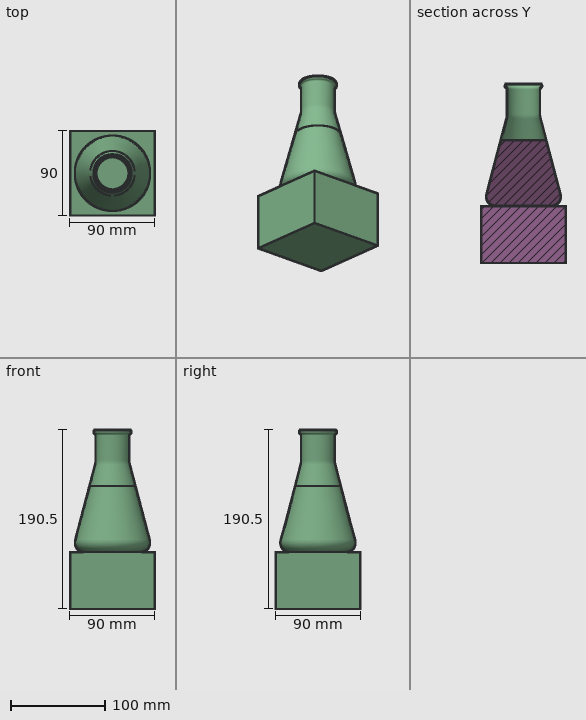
import cadquery as cq
import math

TOTAL_HEIGHT = 190.5
BLOCK_SIDE = 90.0
BLOCK_HEIGHT = 60.4

WALL = 1.0
NECK_RADIUS = 36.0 / 2
BODY_RADIUS = 40.0
BASE_ROUND = 10.1
SHOULDER_ROUND = 14.1
SHOULDER_TOP = 157.0

RIM_RADIUS = 20.2
BEAD_EDGE_RADIUS = 19.2
BEAD_TOP = 189.4
BEAD_BOTTOM = 185.7
BEAD_MIDDLE = (BEAD_TOP + BEAD_BOTTOM) / 2
LIP_RADIUS = 18.9
LIP_BEVEL_HEIGHT = 190.1
LIP_FLAT_RADIUS = 36.0 / 2
MOUTH_RADIUS = 34.7 / 2
LIP_UNDERSIDE = 189.2
FLARE_RADIUS = 18.5
FLARE_TOP = 186.9
NECK_TOP = 184.0

LIQUID_LEVEL = 130.3

base_center = (BODY_RADIUS - BASE_ROUND, BLOCK_HEIGHT + BASE_ROUND)
shoulder_center = (NECK_RADIUS + SHOULDER_ROUND, SHOULDER_TOP)

center_run = shoulder_center[0] - base_center[0]
center_rise = shoulder_center[1] - base_center[1]
CONE_ANGLE = (
    math.asin((BASE_ROUND + SHOULDER_ROUND) / math.hypot(center_run, center_rise))
    - math.atan2(center_run, center_rise)
)


def on_circle(center, radius, angle):
    """Point on a circle, with the angle in radians from the outward direction."""
    return (center[0] + radius * math.cos(angle), center[1] + radius * math.sin(angle))


def trace_body(outline, inset):
    """Draw floor, base round, cone and shoulder round, moved inward by the inset."""
    base_round = BASE_ROUND - inset
    shoulder_round = SHOULDER_ROUND + inset
    middle_angle = (CONE_ANGLE - math.pi / 2) / 2
    return (
        outline.moveTo(0, BLOCK_HEIGHT + inset)
        .lineTo(base_center[0], BLOCK_HEIGHT + inset)
        .threePointArc(
            on_circle(base_center, base_round, middle_angle),
            on_circle(base_center, base_round, CONE_ANGLE),
        )
        .lineTo(*on_circle(shoulder_center, shoulder_round, math.pi + CONE_ANGLE))
        .threePointArc(
            on_circle(shoulder_center, shoulder_round, math.pi + CONE_ANGLE / 2),
            on_circle(shoulder_center, shoulder_round, math.pi),
        )
    )


def revolve_outline(outline):
    """Turn a closed (radius, height) outline about the Z axis."""
    return outline.close().revolve(360, (0, 0, 0), (0, 1, 0))


def make_block():
    return cq.Workplane("XY").box(BLOCK_SIDE, BLOCK_SIDE, BLOCK_HEIGHT, centered=(True, True, False))


def make_cavity():
    """Inside of the flask, flaring from the neck into the hollow bead below the lip."""
    outline = (
        trace_body(cq.Workplane("XZ"), WALL)
        .lineTo(NECK_RADIUS - WALL, NECK_TOP)
        .tangentArcPoint((FLARE_RADIUS, FLARE_TOP), relative=False)
        .threePointArc((RIM_RADIUS - WALL, BEAD_MIDDLE), (MOUTH_RADIUS, LIP_UNDERSIDE))
        .lineTo(MOUTH_RADIUS, TOTAL_HEIGHT)
        .lineTo(0, TOTAL_HEIGHT)
    )
    return revolve_outline(outline)


def make_flask(cavity):
    """Hollow flask with a hollow bead under a beveled lip."""
    outline = (
        trace_body(cq.Workplane("XZ"), 0)
        .lineTo(NECK_RADIUS, NECK_TOP)
        .tangentArcPoint((BEAD_EDGE_RADIUS, BEAD_BOTTOM), relative=False)
        .threePointArc((RIM_RADIUS, BEAD_MIDDLE), (BEAD_EDGE_RADIUS, BEAD_TOP))
        .lineTo(LIP_RADIUS, LIP_BEVEL_HEIGHT)
        .lineTo(LIP_FLAT_RADIUS, TOTAL_HEIGHT)
        .lineTo(0, TOTAL_HEIGHT)
    )
    return revolve_outline(outline).cut(cavity)


def make_liquid(cavity):
    """Liquid filling the cavity up to its level."""
    below_level = cq.Workplane("XY").circle(BODY_RADIUS).extrude(LIQUID_LEVEL)
    return cavity.intersect(below_level)


cavity = make_cavity()
block = make_block()
flask = make_flask(cavity)
liquid = make_liquid(cavity)

result = cq.Compound.makeCompound([block.val(), flask.val(), liquid.val()])